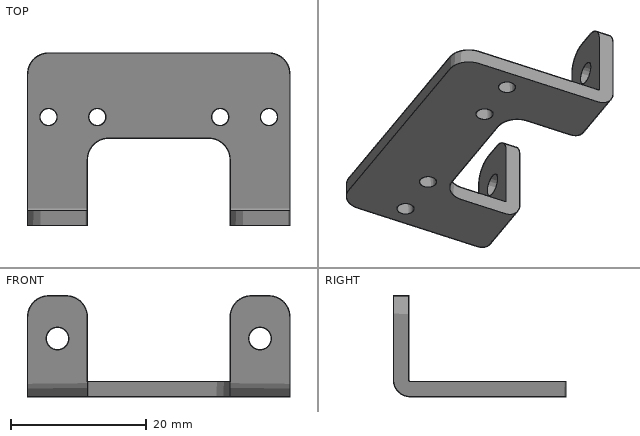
import cadquery as cq

width = 38.89
depth = 25.61
height = 14.99

thickness = 2.29
inner_bend_radius = 0.25
outer_bend_radius = thickness + inner_bend_radius

tab_width = 8.89
corner_radius = 3.175
notch_depth = 12.95
notch_width = width - 2 * tab_width

tab_hole_diameter = 3.3
tab_hole_height = 8.64
tab_hole_spacing = width - tab_width
plate_hole_diameter = 2.5
plate_hole_y = 16.1
inner_hole_spacing = 18.2
outer_hole_spacing = 32.65


def bent_sheet():
    """L-shaped sheet: plate on the XY plane, upright flange along y = 0."""
    outside = cq.Workplane("XY").box(width, depth, height, centered=(True, False, False))
    inside = (
        cq.Workplane("XY")
        .box(width, depth, height, centered=(True, False, False))
        .translate((0, thickness, thickness))
        .edges("|X and <Y and <Z")
        .fillet(inner_bend_radius)
    )
    return outside.edges("|X and <Y and <Z").fillet(outer_bend_radius).cut(inside)


def notch():
    """Opening that splits the flange into two tabs, rounded at its inner corners."""
    return (
        cq.Workplane("XY")
        .box(notch_width, notch_depth, height, centered=(True, False, False))
        .edges("|Z and >Y")
        .fillet(corner_radius)
    )


def plate_holes():
    """Row of four vertical holes through the plate."""
    half_spacings = (outer_hole_spacing / 2, inner_hole_spacing / 2)
    centers = [(side * half, plate_hole_y) for half in half_spacings for side in (-1, 1)]
    return cq.Workplane("XY").pushPoints(centers).circle(plate_hole_diameter / 2).extrude(thickness)


def tab_holes():
    """One horizontal hole through each tab."""
    centers = [(side * tab_hole_spacing / 2, tab_hole_height) for side in (-1, 1)]
    return cq.Workplane("XZ").pushPoints(centers).circle(tab_hole_diameter / 2).extrude(-thickness)


bracket = bent_sheet().cut(notch())
bracket = bracket.edges("|Y and >Z").fillet(corner_radius)
bracket = bracket.edges("|Z and >Y").fillet(corner_radius)
result = bracket.cut(plate_holes()).cut(tab_holes())